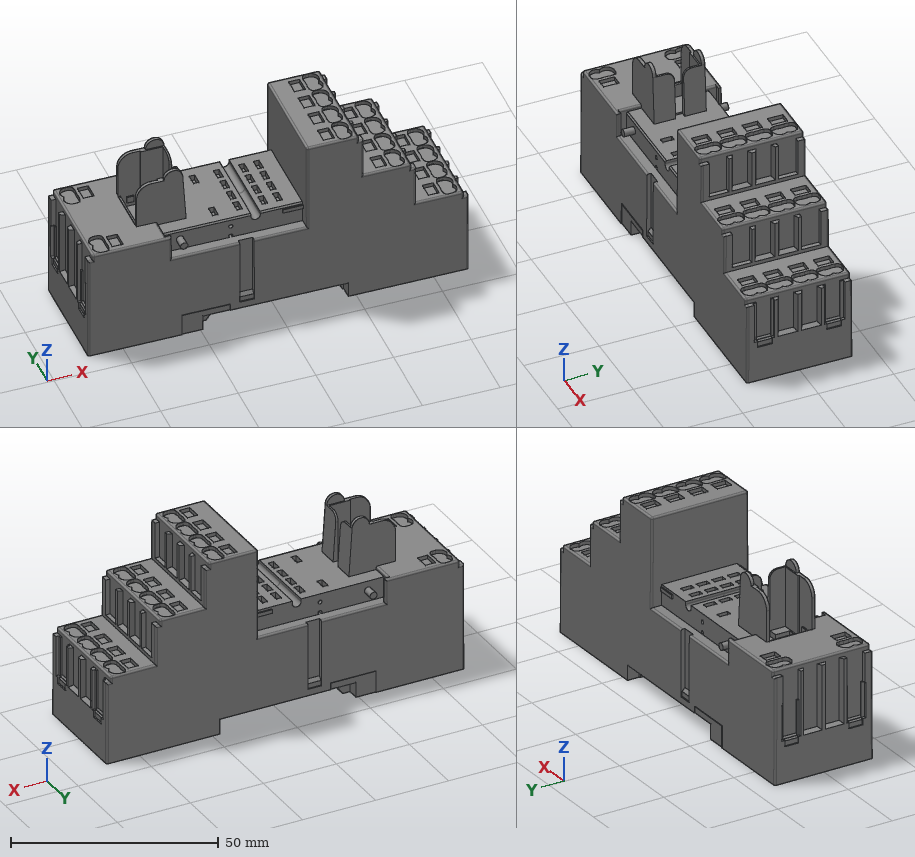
import cadquery as cq
import math

LENGTH = 98.0
WIDTH = 28.0
HEIGHT = 48.3
TOP_WIDTH = 27.5
EDGE_RADIUS = 0.5
EDGE_TOLERANCE = 0.01

SHOULDER_WIDTH = 1.2
SHOULDER_DROP = 1.5
TERRACE_PITCH = 13.5
TERRACE_DROP = 12.2
TERRACE_COUNT = 3
TERRACE_ENDS = [LENGTH - i * TERRACE_PITCH for i in reversed(range(TERRACE_COUNT))]
TERRACE_TOPS = [HEIGHT - i * TERRACE_DROP for i in range(TERRACE_COUNT)]

FRONT_TOP = 30.5
FRONT_END = 21.6
FRONT_RECESS_X = 20.4
CHEEK_INNER_Y = 12.9
TOWER_X = 56.4
LEDGE_Z = 24.0

SOCKET_TOP = 29.6
SOCKET_HALF_WIDTH = 10.9
SOCKET_CHAMFER = 0.4

RAIL_X0 = 29.6
RAIL_X1 = 67.0
RAIL_DEPTH = 4.1
HOOK_HALF_WIDTH = 10.7
HOOK_TIP_Z = 2.6
HOOK_NECK_Z = 2.95
HOOK_NECK_FLARE = 0.2
CLIP_HOOK_FOOT = 2.0
CLIP_HOOK_TIP = 3.8
CLIP_HOOK_NECK = 2.0
FIXED_HOOK_FOOT = 0.3
FIXED_HOOK_TIP = 1.8
FIXED_HOOK_NECK = 0.5

CLIP_X0 = 24.2
CLIP_X1 = 36.6
CLIP_TOP = 5.9
CLIP_DEPTH = 0.2

CELL_PITCH = 6.7
ROW_OFFSETS = [-1.5, -0.5, 0.5, 1.5]
CELL_YS = [offset * CELL_PITCH for offset in ROW_OFFSETS]
OUTER_CELL_YS = [CELL_YS[0], CELL_YS[-1]]
TERMINAL_DEPTH = 1.0
WINDOW_LENGTH = 2.8
WINDOW_WIDTH = 4.1
WINDOW_INSET = 8.3
ENTRY_LENGTH = 3.8
ENTRY_WIDTH = 6.5
ENTRY_INSET = 2.2
LOBE_RADIUS = 1.95
ENTRY_CORNER = 1.1

GROOVE_DEPTH = SHOULDER_WIDTH
INNER_GROOVE_Y0 = 0.5
INNER_GROOVE_Y1 = 5.75
GROOVE_FLANK = 0.65
OUTER_GROOVE_Y0 = 6.6
OUTER_GROOVE_Y1 = 11.7
GROOVE_BOTTOM = 11.5
TERRACE_GROOVE_LENGTH = 9.7
POCKET_Y0 = 7.2
POCKET_Y1 = 11.1
POCKET_BOTTOM = 9.8
POCKET_TOP = 21.0
POCKET_LEDGE_Y1 = 12.0
POCKET_LEDGE_DEPTH = 0.8

SILL_DEPTH = 0.4
SILL_HEIGHT = 1.3
SILL_RAMP = 0.9

CONTACT_LENGTH = 1.4
CONTACT_WIDTH = 3.0
CONTACT_PITCH = 4.43
CONTACT_DEPTH = 1.5
CONTACT_YS = [offset * CONTACT_PITCH for offset in ROW_OFFSETS]
COIL_COLUMN_X = 34.95
CONTACT_COLUMN_XS = [41.2, 47.7, 51.5]

BAR_GROOVE_X = 44.3
BAR_GROOVE_Z = 28.9
BAR_GROOVE_RADIUS = 1.2

PIN_X = 24.8
PIN_Z = 27.0
PIN_RADIUS = 0.95
PIN_END_Y = 13.8

SIDE_HOLE_X = 37.9
SIDE_HOLE_ZS = [24.4, 27.3]
SIDE_HOLE_RADIUS = 0.5
SIDE_HOLE_DEPTH = 1.0

TAB_X0 = 51.2
TAB_BOTTOM = 28.0
TAB_HEIGHT = 1.0
TAB_PROJECTION = 0.4

CHANNEL_X0 = 39.1
CHANNEL_X1 = 42.8
CHANNEL_BOTTOM = 5.9
CHANNEL_DEPTH = 1.2

LEVER_X0 = 15.1
LEVER_X1 = 28.2
LEVER_HALF_WIDTH = 6.9
PLATE_THICKNESS = 0.9
PLATE_FLAT_Z = 42.7
PLATE_CORNER = 3.8
PLATE_TOP_X = 27.0
THUMB_RADIUS = 2.4
LINING_X = 20.8
LINING_THICKNESS = 0.4
WALL_X = 26.5
WALL_TOP = 42.7
WALL_INNER_Y = 1.2
WALL_CORNER = 2.2
LEVER_BOTTOM = 24.5
SEAM_WIDTH = 0.6
SEAM_DEPTH = 0.3
WELL_FLOOR = 26.6
SLOT_X0 = 22.0
SLOT_X1 = 23.9
SLOT_HALF_WIDTH = 5.2
SLOT_DEPTH = 1.5
BUMP_X0 = 17.3
BUMP_X1 = 19.1
BUMP_Z0 = 27.9
BUMP_Z1 = 29.6
BUMP_PROJECTION = 0.4


def box(x0, x1, y0, y1, z0, z1):
    """Box from its limits along each axis."""
    return cq.Workplane("XY").box(x1 - x0, y1 - y0, z1 - z0, centered=False).translate((x0, y0, z0))


def both_sides(shape):
    """The shape together with its mirror image across the XZ plane."""
    return shape.union(shape.mirror("XZ"))


def prism_y(points, y0, y1):
    """Prism of an XZ outline between two Y positions."""
    return cq.Workplane("XZ", origin=(0, y0, 0)).polyline(points).close().extrude(y0 - y1)


def housing_outline():
    points = [
        (0, 0),
        (0, FRONT_TOP - SHOULDER_DROP),
        (SHOULDER_WIDTH, FRONT_TOP - SHOULDER_DROP),
        (SHOULDER_WIDTH, FRONT_TOP),
        (FRONT_END, FRONT_TOP),
        (FRONT_END, LEDGE_Z),
        (TOWER_X, LEDGE_Z),
    ]
    start_x = TOWER_X
    for end_x, top in zip(TERRACE_ENDS, TERRACE_TOPS):
        points += [
            (start_x, top),
            (end_x - SHOULDER_WIDTH, top),
            (end_x - SHOULDER_WIDTH, top - SHOULDER_DROP),
            (end_x, top - SHOULDER_DROP),
        ]
        start_x = end_x
    return points + [(LENGTH, 0)]


def near(x, z):
    """Selector for the edges around the point X, Z of the middle plane."""
    return cq.selectors.BoxSelector(
        (x - EDGE_TOLERANCE, -EDGE_TOLERANCE, z - EDGE_TOLERANCE),
        (x + EDGE_TOLERANCE, EDGE_TOLERANCE, z + EDGE_TOLERANCE),
    )


def upper_cross_edges(body):
    """Upper edges of the front block, the tower and the terraces that run along Y."""
    edges = body.edges(near(SHOULDER_WIDTH, FRONT_TOP)).add(body.edges(near(TOWER_X, HEIGHT)))
    for end_x, top in zip(TERRACE_ENDS, TERRACE_TOPS):
        edges = edges.add(body.edges(near(end_x - SHOULDER_WIDTH, top)))
    return edges


def housing():
    section = [
        (-WIDTH / 2, 0),
        (WIDTH / 2, 0),
        (TOP_WIDTH / 2, HEIGHT),
        (-TOP_WIDTH / 2, HEIGHT),
    ]
    envelope = cq.Workplane("YZ").polyline(section).close().extrude(LENGTH)
    body = prism_y(housing_outline(), -WIDTH / 2, WIDTH / 2).intersect(envelope)
    side_edges = body.faces("<Y or >Y").edges("not <Z").vals()
    cross_edges = upper_cross_edges(body).vals()
    body = body.newObject(side_edges + cross_edges).fillet(EDGE_RADIUS)
    recess = box(FRONT_RECESS_X, FRONT_END, -CHEEK_INNER_Y, CHEEK_INNER_Y, LEDGE_Z, FRONT_TOP)
    body = body.cut(recess)
    return body.edges(near(FRONT_RECESS_X, FRONT_TOP)).fillet(EDGE_RADIUS)


def rail_notch():
    return box(RAIL_X0, RAIL_X1, -WIDTH / 2, WIDTH / 2, 0, RAIL_DEPTH)


def rail_hook(wall_x, inward, foot, tip, neck):
    """Hook on a wall of the rail notch, given by its three reaches from that wall."""
    profile = [
        (0, 0),
        (foot, 0),
        (tip, HOOK_TIP_Z),
        (neck + HOOK_NECK_FLARE, HOOK_NECK_Z),
        (neck, RAIL_DEPTH),
        (0, RAIL_DEPTH),
    ]
    points = [(wall_x + inward * reach, z) for reach, z in profile]
    return prism_y(points, -HOOK_HALF_WIDTH, HOOK_HALF_WIDTH)


def rail_hooks():
    clip_hook = rail_hook(RAIL_X0, 1, CLIP_HOOK_FOOT, CLIP_HOOK_TIP, CLIP_HOOK_NECK)
    fixed_hook = rail_hook(RAIL_X1, -1, FIXED_HOOK_FOOT, FIXED_HOOK_TIP, FIXED_HOOK_NECK)
    return clip_hook.union(fixed_hook)


def clip_recesses():
    return both_sides(box(CLIP_X0, CLIP_X1, WIDTH / 2 - CLIP_DEPTH, WIDTH / 2, 0, CLIP_TOP))


def sill_section(depth, bottom, top):
    """Pocket section as (depth, Z) points: a low sill at the foot, then a ramp to full depth."""
    return [
        (0, bottom),
        (SILL_DEPTH, bottom),
        (SILL_DEPTH, bottom + SILL_HEIGHT),
        (depth, bottom + SILL_HEIGHT + SILL_RAMP),
        (depth, top),
        (0, top),
    ]


def side_channels():
    section = [(WIDTH / 2 - depth, z) for depth, z in sill_section(CHANNEL_DEPTH, CHANNEL_BOTTOM, LEDGE_Z)]
    channel = cq.Workplane("YZ", origin=(CHANNEL_X0, 0, 0)).polyline(section).close()
    return both_sides(channel.extrude(CHANNEL_X1 - CHANNEL_X0))


def wire_entry(end_x, inward, y, top):
    """Pocket with two lobes towards the block end and a straight inner side."""
    lobe_x = end_x + inward * (ENTRY_INSET + LOBE_RADIUS)
    inner_x = end_x + inward * (ENTRY_INSET + ENTRY_LENGTH)
    lobe_y = ENTRY_WIDTH / 2 - LOBE_RADIUS
    floor = top - TERMINAL_DEPTH
    pocket = box(min(lobe_x, inner_x), max(lobe_x, inner_x), -ENTRY_WIDTH / 2, ENTRY_WIDTH / 2, floor, top)
    inner_side = ">X" if inward > 0 else "<X"
    pocket = pocket.faces(inner_side).edges("|Z").fillet(ENTRY_CORNER)
    lobes = (
        cq.Workplane("XY", origin=(lobe_x, 0, floor))
        .pushPoints([(0, lobe_y), (0, -lobe_y)])
        .circle(LOBE_RADIUS)
        .extrude(TERMINAL_DEPTH, combine=False)
    )
    for lobe in lobes.vals():
        pocket = pocket.union(cq.Workplane(lobe))
    return pocket.translate((0, y, 0))


def test_window(end_x, inward, y, top):
    centre = (end_x + inward * WINDOW_INSET, y, top - TERMINAL_DEPTH / 2)
    return cq.Workplane("XY").box(WINDOW_LENGTH, WINDOW_WIDTH, TERMINAL_DEPTH).translate(centre)


def cut_terminals(body, end_x, inward, ys, top):
    for y in ys:
        body = body.cut(wire_entry(end_x, inward, y, top))
        body = body.cut(test_window(end_x, inward, y, top))
    return body


def inner_grooves(bottom, shoulder):
    """Pair of grooves with sloping flanks, cut into the plane X = 0 and open at the shoulder."""
    y0, y1 = INNER_GROOVE_Y0, INNER_GROOVE_Y1
    open_top = shoulder + GROOVE_FLANK
    groove = (
        cq.Workplane("YZ")
        .center((y0 + y1) / 2, (bottom + open_top) / 2)
        .rect(y1 - y0, open_top - bottom)
        .extrude(GROOVE_DEPTH, taper=math.degrees(math.atan(GROOVE_FLANK / GROOVE_DEPTH)))
    )
    below_shoulder = box(0, GROOVE_DEPTH, y0, y1, bottom, shoulder)
    return both_sides(groove.intersect(below_shoulder))


def outer_grooves(bottom, shoulder):
    return both_sides(box(0, GROOVE_DEPTH, OUTER_GROOVE_Y0, OUTER_GROOVE_Y1, bottom, shoulder))


def narrowed_pockets(top):
    """Pair of pockets with a ledge on each side, at the lower end of the outer grooves."""
    ledge = box(0, POCKET_LEDGE_DEPTH, OUTER_GROOVE_Y0, POCKET_LEDGE_Y1, GROOVE_BOTTOM, top)
    pocket = prism_y(sill_section(GROOVE_DEPTH, POCKET_BOTTOM, top), POCKET_Y0, POCKET_Y1)
    return both_sides(ledge.union(pocket))


def cut_end_grooves(body):
    shoulder = FRONT_TOP - SHOULDER_DROP
    body = body.cut(inner_grooves(GROOVE_BOTTOM, shoulder))
    body = body.cut(outer_grooves(POCKET_TOP, shoulder)).cut(narrowed_pockets(POCKET_TOP))
    for end_x, top in zip(TERRACE_ENDS, TERRACE_TOPS):
        shoulder = top - SHOULDER_DROP
        if end_x == LENGTH:
            cutters = [inner_grooves(GROOVE_BOTTOM, shoulder), narrowed_pockets(shoulder)]
        else:
            bottom = shoulder - TERRACE_GROOVE_LENGTH
            cutters = [inner_grooves(bottom, shoulder), outer_grooves(bottom, shoulder)]
        for cutter in cutters:
            body = body.cut(cutter.mirror("YZ").translate((end_x, 0, 0)))
    return body


def contact_slots():
    positions = [(COIL_COLUMN_X, CONTACT_YS[0]), (COIL_COLUMN_X, CONTACT_YS[-1])]
    for x in CONTACT_COLUMN_XS:
        positions += [(x, y) for y in CONTACT_YS]
    return (
        cq.Workplane("XY", origin=(0, 0, SOCKET_TOP - CONTACT_DEPTH))
        .pushPoints(positions)
        .rect(CONTACT_LENGTH, CONTACT_WIDTH)
        .extrude(CONTACT_DEPTH)
    )


def bar_groove():
    """Round-bottomed groove across the socket, open at the top."""
    round_bottom = (
        cq.Workplane("XZ", origin=(BAR_GROOVE_X, 0, BAR_GROOVE_Z))
        .circle(BAR_GROOVE_RADIUS)
        .extrude(SOCKET_HALF_WIDTH, both=True)
    )
    x0 = BAR_GROOVE_X - BAR_GROOVE_RADIUS
    x1 = BAR_GROOVE_X + BAR_GROOVE_RADIUS
    opening = box(x0, x1, -SOCKET_HALF_WIDTH, SOCKET_HALF_WIDTH, BAR_GROOVE_Z, SOCKET_TOP)
    return round_bottom.union(opening)


def side_cylinder(x, z, radius, y0, y1):
    return cq.Workplane("XZ", origin=(x, y0, z)).circle(radius).extrude(y0 - y1)


def socket():
    half = SOCKET_HALF_WIDTH
    block = box(FRONT_RECESS_X, TOWER_X, -half, half, LEDGE_Z, SOCKET_TOP)
    block = block.faces(">Z").edges("<Y").chamfer(SOCKET_CHAMFER)
    block = block.cut(contact_slots()).cut(bar_groove())
    for z in SIDE_HOLE_ZS:
        hole = side_cylinder(SIDE_HOLE_X, z, SIDE_HOLE_RADIUS, half - SIDE_HOLE_DEPTH, half)
        block = block.cut(both_sides(hole))
    pins = both_sides(side_cylinder(PIN_X, PIN_Z, PIN_RADIUS, half, PIN_END_Y))
    tab = box(TAB_X0, TOWER_X, half, half + TAB_PROJECTION, TAB_BOTTOM, TAB_BOTTOM + TAB_HEIGHT)
    return block.union(pins).union(both_sides(tab))


def lever_plate():
    """Upright side plate with a rounded front corner and a thumb lobe."""
    lobe_x = PLATE_TOP_X - THUMB_RADIUS
    mid = PLATE_CORNER * (1 - math.sqrt(0.5))
    return (
        cq.Workplane("XZ", origin=(0, LEVER_HALF_WIDTH, 0))
        .moveTo(LEVER_X0, LEVER_BOTTOM)
        .lineTo(LEVER_X0, PLATE_FLAT_Z - PLATE_CORNER)
        .threePointArc(
            (LEVER_X0 + mid, PLATE_FLAT_Z - mid),
            (LEVER_X0 + PLATE_CORNER, PLATE_FLAT_Z),
        )
        .lineTo(lobe_x - THUMB_RADIUS, PLATE_FLAT_Z)
        .threePointArc((lobe_x, PLATE_FLAT_Z + THUMB_RADIUS), (PLATE_TOP_X, PLATE_FLAT_Z))
        .lineTo(LEVER_X1, LEVER_BOTTOM)
        .close()
        .extrude(PLATE_THICKNESS)
    )


def lever():
    inner = LEVER_HALF_WIDTH - PLATE_THICKNESS
    lining_y = inner - LINING_THICKNESS
    lining = box(LINING_X, WALL_X, lining_y, inner, LEVER_BOTTOM, WALL_TOP)
    wall = box(WALL_X, LEVER_X1, WALL_INNER_Y, inner, LEVER_BOTTOM, WALL_TOP)
    wall = wall.faces(">Z").edges("<Y").fillet(WALL_CORNER)
    lean_limit = [
        (LEVER_X0, LEVER_BOTTOM),
        (LEVER_X1, LEVER_BOTTOM),
        (PLATE_TOP_X, PLATE_FLAT_Z),
        (LEVER_X0, PLATE_FLAT_Z),
    ]
    wall = wall.intersect(prism_y(lean_limit, 0, inner))
    bump = box(BUMP_X0, BUMP_X1, inner - BUMP_PROJECTION, inner, BUMP_Z0, BUMP_Z1)
    return both_sides(lever_plate().union(lining).union(wall).union(bump))


def lever_well():
    """Space between the plates, with a T-shaped recess in its floor."""
    inner = LEVER_HALF_WIDTH - PLATE_THICKNESS
    well_x0 = LEVER_X0 + SEAM_WIDTH
    seam = box(LEVER_X0, well_x0, -inner, inner, FRONT_TOP - SEAM_DEPTH, FRONT_TOP)
    well = box(well_x0, WALL_X, -inner, inner, WELL_FLOOR, FRONT_TOP)
    slot = box(SLOT_X0, SLOT_X1, -SLOT_HALF_WIDTH, SLOT_HALF_WIDTH, WELL_FLOOR - SLOT_DEPTH, WELL_FLOOR)
    channel = box(SLOT_X1, WALL_X, -WALL_INNER_Y, WALL_INNER_Y, WELL_FLOOR - SLOT_DEPTH, WELL_FLOOR)
    return seam.union(well).union(slot).union(channel)


def build():
    body = housing()
    body = body.cut(rail_notch()).union(rail_hooks())
    body = body.cut(clip_recesses()).cut(side_channels())
    body = cut_terminals(body, 0, 1, OUTER_CELL_YS, FRONT_TOP)
    for end_x, top in zip(TERRACE_ENDS, TERRACE_TOPS):
        body = cut_terminals(body, end_x, -1, CELL_YS, top)
    body = cut_end_grooves(body)
    return body.union(socket()).cut(lever_well()).union(lever())


result = build()